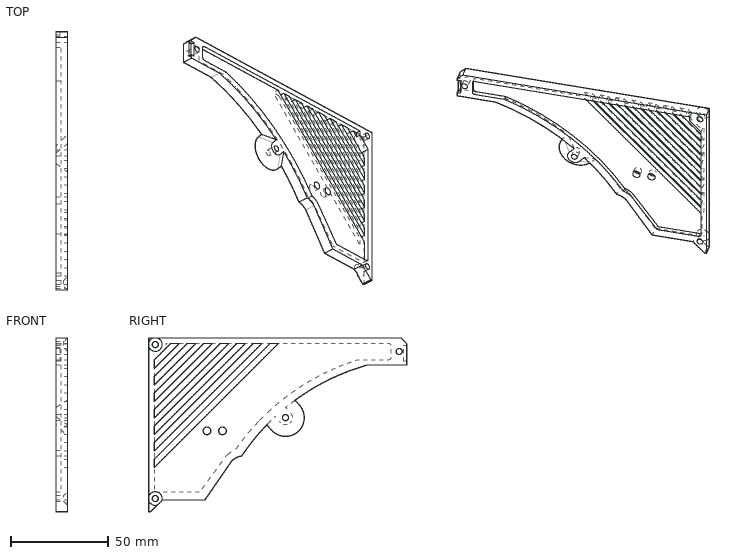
import cadquery as cq
import math

thickness = 6.0
length = 133.0
height = 89.6

end_height = 14.1
end_chamfer = 3.0
foot_z = -83.5
foot_outer_y = 29.0
heel_y = 7.2
heel_tip = 0.9
arch_outer = [(112.4, -end_height), (83.1, -26.9), (47.9, -60.9)]
knee_outer = [(45.0, -61.8), (42.8, -63.5)]

rim = 2.9
recess_depth = 2.5
recess_end_y = 124.9
recess_end_z = -11.3
recess_foot_y = 26.3
recess_foot_z = -79.4
recess_fillet = 1.3
arch_inner = [(107.6, recess_end_z), (79.0, -24.6), (44.3, -58.1)]
knee_inner = [(41.6, -59.3), (39.2, -61.7)]
corner_pad_y = 8.9

slot_count = 7
slot_width = 4.3
slot_pitch = 2 * slot_width
first_slot_drop = 69.7
last_slot_drop = first_slot_drop - (slot_count - 1) * slot_pitch - slot_width

lug_y = 70.5
lug_z = -41.1
lug_tip_radius = 3.6
lug_base_radius = 9.7
lug_reach = 10.6
lug_angle = 48.0

screw_diameter = 3.0
screw_inset = 3.5
edge_screw_points = [(screw_inset, -screw_inset), (screw_inset, -82.7)]
end_screw_point = (129.0, -7.0)
screw_points = edge_screw_points + [end_screw_point, (lug_y, lug_z)]
countersink_diameter = 7.0
countersink_angle = 90
cable_diameter = 3.9
cable_points = [(38.0, -47.9), (30.0, -47.9)]

notch_top = 4.0
notch_height = 8.0
notch_length = 1.7
notch_depth = 2.0


def plate():
    return (
        cq.Workplane("YZ")
        .moveTo(0, 0)
        .lineTo(length - end_chamfer, 0)
        .lineTo(length, -end_chamfer)
        .lineTo(length, -end_height)
        .lineTo(*arch_outer[0])
        .threePointArc(*arch_outer[1:])
        .threePointArc(*knee_outer)
        .lineTo(foot_outer_y, foot_z)
        .lineTo(heel_y, foot_z)
        .lineTo(heel_tip, -height)
        .lineTo(0, -height)
        .close()
        .extrude(thickness)
    )


def recess(depth):
    """Recessed field bounded by the rim, with a pad left in the screw corner."""
    body = (
        cq.Workplane("YZ")
        .moveTo(rim, -rim)
        .lineTo(recess_end_y, -rim)
        .lineTo(recess_end_y, recess_end_z)
        .lineTo(*arch_inner[0])
        .threePointArc(*arch_inner[1:])
        .threePointArc(*knee_inner)
        .lineTo(recess_foot_y, recess_foot_z)
        .lineTo(rim, recess_foot_z)
        .close()
        .extrude(depth)
    )
    rounded_corners = [
        (recess_end_y, -rim),
        (recess_end_y, recess_end_z),
        (recess_foot_y, recess_foot_z),
        (rim, recess_foot_z),
    ]
    for y, z in rounded_corners:
        corner = cq.selectors.NearestToPointSelector((depth / 2, y, z))
        body = body.edges("|X").edges(corner).fillet(recess_fillet)
    pad = (
        cq.Workplane("YZ")
        .polyline([
            (0, 0),
            (corner_pad_y, 0),
            (corner_pad_y, corner_pad_y - last_slot_drop),
            (0, -last_slot_drop),
        ])
        .close()
        .extrude(depth)
    )
    return body.cut(pad)


def slots():
    bars = cq.Workplane("YZ")
    for index in range(slot_count):
        lower = first_slot_drop - index * slot_pitch
        upper = lower - slot_width
        bar = (
            cq.Workplane("YZ")
            .polyline([(0, -lower), (lower, 0), (upper, 0), (0, -upper)])
            .close()
            .extrude(thickness)
        )
        bars = bars.add(bar)
    return bars.combine().intersect(recess(thickness))


def lug():
    """Cone widening toward the back face, carried into the plate by a matching wedge."""
    cone = (
        cq.Workplane("YZ")
        .circle(lug_tip_radius)
        .workplane(offset=thickness)
        .circle(lug_base_radius)
        .loft(ruled=True)
    )
    web = (
        cq.Workplane("XZ")
        .polyline([
            (0, -lug_tip_radius),
            (0, lug_tip_radius),
            (thickness, lug_base_radius),
            (thickness, -lug_base_radius),
        ])
        .close()
        .extrude(lug_reach)
    )
    return (
        cone.union(web)
        .rotate((0, 0, 0), (1, 0, 0), -lug_angle)
        .translate((0, lug_y, lug_z))
    )


def holes(points, diameter):
    return cq.Workplane("YZ").pushPoints(points).circle(diameter / 2).extrude(thickness)


def edge_countersinks():
    """Conical seats in the back face for the screws along the mounting edge."""
    cutter = cq.Workplane("YZ")
    sink_radius = countersink_diameter / 2
    half_angle = countersink_angle / 2
    sink_depth = sink_radius / math.tan(math.radians(half_angle))
    for y, z in edge_screw_points:
        cone = cq.Solid.makeCone(
            0, sink_radius, sink_depth, cq.Vector(thickness - sink_depth, y, z), cq.Vector(1, 0, 0)
        )
        cutter = cutter.add(cone)
    return cutter.combine()


def notch():
    return (
        cq.Workplane("XY")
        .box(notch_depth, notch_length, notch_height, centered=False)
        .translate((0, length - notch_length, -notch_top - notch_height))
    )


result = (
    plate()
    .union(lug())
    .cut(recess(recess_depth))
    .cut(slots())
    .cut(holes(screw_points, screw_diameter))
    .cut(edge_countersinks())
    .cut(holes(cable_points, cable_diameter))
    .cut(notch())
)